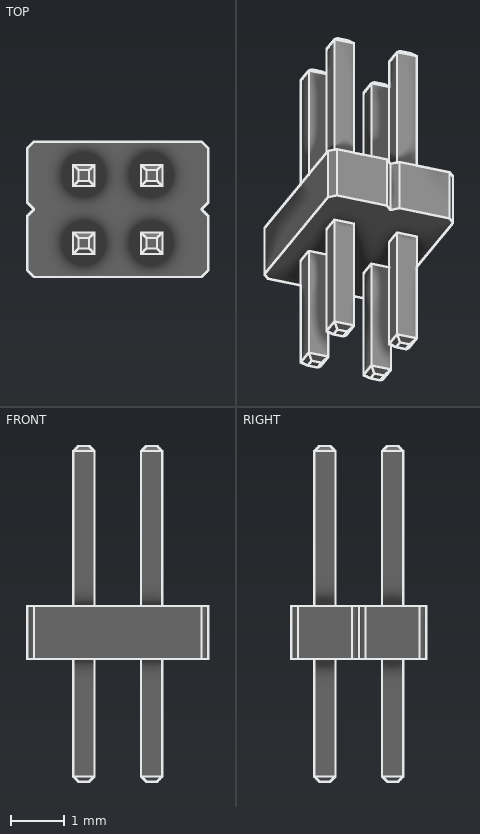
import cadquery as cq

pitch = 1.27
columns = 2
rows = 2

body_length = 3.4
body_width = rows * pitch
body_height = 1.0
corner_cut = 0.1 * pitch

pin_side = 0.4
pin_above = 3.0
pin_below = 2.3
tip_chamfer = 0.1

pin_length = pin_below + body_height + pin_above


def make_row_section(row_y):
    """One row's block of the housing, chamfered on its four vertical edges."""
    return (
        cq.Workplane("XY")
        .box(body_length, pitch, body_height, centered=(True, True, False))
        .edges("|Z")
        .chamfer(corner_cut)
        .translate((0, row_y, 0))
    )


def make_pin(pin_x, pin_y):
    """Square pin through the housing, with chamfered tips at both ends."""
    return (
        cq.Workplane("XY")
        .box(pin_side, pin_side, pin_length, centered=(True, True, False))
        .faces("<Z or >Z")
        .chamfer(tip_chamfer)
        .translate((pin_x, pin_y, -pin_below))
    )


column_positions = [(column - (columns - 1) / 2) * pitch for column in range(columns)]
row_positions = [(row + 0.5) * pitch - body_width / 2 for row in range(rows)]

header = make_row_section(row_positions[0])
for row_y in row_positions[1:]:
    header = header.union(make_row_section(row_y))

for row_y in row_positions:
    for column_x in column_positions:
        header = header.union(make_pin(column_x, row_y))

result = header.clean()